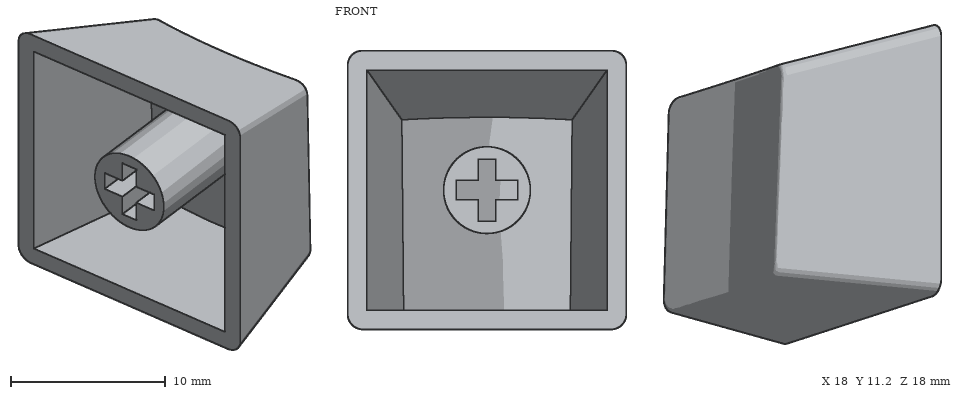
import cadquery as cq
import math

base_size = 18.0
wall = 1.25
corner_radius = 1.0
rim_radius = 0.3

side_slope = 0.243
upper_slope = 0.346
blank_height = 12.5

dish_radius = 32.0
dish_mid_height = 10.26
dish_tilt = math.radians(2.3)
dish_length = 4 * base_size
roof_thickness = 1.25

stem_diameter = 5.6
socket_span = 4.0
socket_slot_x = 1.25
socket_slot_z = 1.12


def tapered_block(size):
    """Square at Y = 0 with leaning side and +Z walls and an upright -Z wall."""
    half = size / 2
    end_half_width = half - side_slope * blank_height
    end_top = half - upper_slope * blank_height
    plan = (
        cq.Workplane("XY")
        .polyline([(-half, 0), (half, 0), (end_half_width, blank_height), (-end_half_width, blank_height)])
        .close()
        .extrude(half, both=True)
    )
    profile = (
        cq.Workplane("YZ")
        .polyline([(0, -half), (blank_height, -half), (blank_height, end_top), (0, half)])
        .close()
        .extrude(half, both=True)
    )
    return plan.intersect(profile)


def dish_cylinder(radius):
    """Dish cutter; every radius shares one axis, so dishes are concentric."""
    axis = cq.Vector(0, -math.sin(dish_tilt), math.cos(dish_tilt))
    axis_point = cq.Vector(0, dish_mid_height + dish_radius / math.cos(dish_tilt), 0)
    start = axis_point - axis * (dish_length / 2)
    return cq.Workplane(cq.Solid.makeCylinder(radius, dish_length, start, axis))


def make_outer_body():
    """Outer block with rounded corner edges, a dished top and a rounded rim around the dish."""
    corner_edges = cq.selectors.BoxSelector(
        (-base_size, blank_height / 4, -base_size),
        (base_size, blank_height * 3 / 4, base_size),
    )
    body = tapered_block(base_size).edges(corner_edges).fillet(corner_radius)
    body = body.cut(dish_cylinder(dish_radius))
    dish_face = max(body.faces().vals(), key=lambda face: face.Center().y)
    return body.newObject([dish_face]).edges().fillet(rim_radius)


def make_cavity():
    """Sharp-cornered hollow, less the stem that hangs from the roof with its cross-shaped socket."""
    hollow = tapered_block(base_size - 2 * wall).cut(dish_cylinder(dish_radius + roof_thickness))
    stem = cq.Workplane("XZ").circle(stem_diameter / 2).extrude(-blank_height)
    return hollow.cut(stem.cut(make_socket()))


def make_socket():
    """Cross-shaped bar along Y; inside the hollow it reaches up to the roof."""
    bar_along_x = cq.Workplane("XZ").rect(socket_span, socket_slot_x).extrude(-blank_height)
    bar_along_z = cq.Workplane("XZ").rect(socket_slot_z, socket_span).extrude(-blank_height)
    return bar_along_x.union(bar_along_z)


result = make_outer_body().cut(make_cavity())